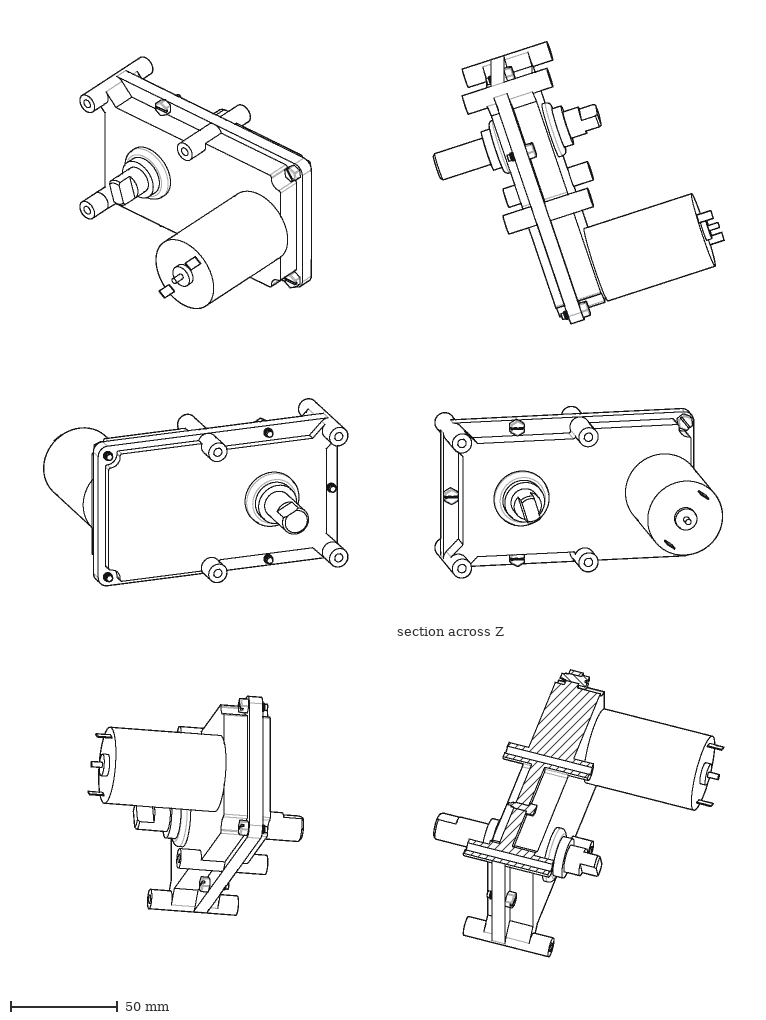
import cadquery as cq
import math


gearbox_depth = 22.3
gearbox_left = -27.7
narrow_half_height = 27.3
wide_half_height = 31.75
right_screw_x = 80.1
screw_notch_radius = 4.7
scallop_lip_radius = 1.0
gearbox_right = right_screw_x + scallop_lip_radius

standoff_offset = 30.2
standoff_radius = 4.6
standoff_bore = 4.0
standoff_front = -9.7
standoff_back = 32.0
standoff_blend_radius = 1.0

flange_front = 11.4
flange_back = 17.9
flange_left = -standoff_offset - standoff_radius
flange_right = right_screw_x + standoff_radius
flange_half_height = standoff_offset + standoff_radius

bearing_radius = 13.0
front_bearing_height = 3.9
back_bearing_height = 4.35
bearing_fillet = 2.2
neck_radius = 9.5
neck_height = 4.4

shaft_radius = 6.5
shaft_front = -23.6
shaft_back = 56.0
shaft_chamfer = 1.0
shaft_turn = 17.2
tongue_thickness = 6.2
tongue_length = 7.85
flat_distance = 5.0
flat_length = 9.6
flat_tilt = -45.0

motor_x = 67.66
motor_radius = 17.9
motor_length = 52.9
motor_hub_radius = 5.1
motor_hub_height = 2.6
motor_pin_radius = 1.3
motor_pin_end = 60.5
terminal_width = 4.2
terminal_thickness = 0.5
terminal_length = 7.0
terminal_circle_radius = 14.1
terminal_angle = 55.0

screw_offset = 31.5
head_across_flats = 6.5
head_height = 3.55
head_edge_fillet = 0.45
thread_radius = 2.0
thread_length = 1.8
thread_chamfer = 0.4
thread_pitch = 0.6
thread_groove_width = 0.3
thread_groove_depth = 0.2
point_radius = 1.5
point_length = 1.3
slot_width = 0.8
slot_depth = 1.2
crooked_screw_turn = -52.0


def plane_at(y):
    """Workplane whose local axes are X and Z, at depth y."""
    return cq.Workplane("XZ", origin=(0, y, 0))


def rod(x, z, radius, y_front, y_back):
    """Round bar along Y."""
    return plane_at(y_front).center(x, z).circle(radius).extrude(y_front - y_back)


def block(width, height, y_front, y_back):
    """Rectangular bar along Y, centred on the shaft axis."""
    return plane_at(y_front).rect(width, height).extrude(y_front - y_back)


def turned_about_y(body, angle):
    """Turn a body about the shaft axis, counter-clockwise with X right and Z up."""
    return body.rotate((0, 0, 0), (0, -1, 0), angle)


def mirrored_pair(body):
    """Body together with its mirror image below the shaft axis."""
    return body.union(body.mirror("XY"))


def gearbox_block():
    narrow = (
        plane_at(0)
        .moveTo(gearbox_left, -narrow_half_height)
        .lineTo(standoff_offset, -narrow_half_height)
        .lineTo(standoff_offset, narrow_half_height)
        .lineTo(gearbox_left, narrow_half_height)
        .close()
        .extrude(-gearbox_depth)
    )
    wide = (
        plane_at(0)
        .moveTo(standoff_offset, -wide_half_height)
        .lineTo(gearbox_right, -wide_half_height)
        .lineTo(gearbox_right, wide_half_height)
        .lineTo(standoff_offset, wide_half_height)
        .close()
        .extrude(-gearbox_depth)
    )
    return narrow.union(wide)


def screw_notch():
    """Scalloped upper right corner that clears a screw head."""
    left = right_screw_x - screw_notch_radius
    bottom = standoff_offset - screw_notch_radius
    diagonal = screw_notch_radius * math.sqrt(0.5)
    lip = scallop_lip_radius
    lip_middle = lip * (1 - math.sqrt(0.5))
    return (
        plane_at(0)
        .moveTo(left - lip, wide_half_height)
        .threePointArc(
            (left - lip_middle, wide_half_height - lip_middle),
            (left, wide_half_height - lip),
        )
        .lineTo(left, standoff_offset)
        .threePointArc(
            (right_screw_x - diagonal, standoff_offset - diagonal),
            (right_screw_x, bottom),
        )
        .threePointArc(
            (gearbox_right - lip_middle, bottom - lip_middle),
            (gearbox_right, bottom - lip),
        )
        .lineTo(gearbox_right, wide_half_height)
        .close()
        .extrude(-gearbox_depth)
    )


def corner_web():
    """Diagonal web from the gearbox to the upper left tube, with sides tangent to the tube."""
    reach = standoff_offset * math.sqrt(0.5)
    web = plane_at(0).center(-reach / 2, 0).rect(reach, 2 * standoff_radius).extrude(-gearbox_depth)
    return turned_about_y(web.translate((-reach, 0, 0)), -45)


def standoff_blend():
    """Concave blend between the narrow upper wall and the upper right tube."""
    centre_z = narrow_half_height + standoff_blend_radius
    centre_distance = standoff_radius + standoff_blend_radius
    rise = standoff_offset - centre_z
    centre_x = standoff_offset - math.sqrt(centre_distance**2 - rise**2)
    filler = (
        plane_at(0)
        .moveTo(centre_x, narrow_half_height)
        .lineTo(standoff_offset, narrow_half_height)
        .lineTo(standoff_offset, standoff_offset)
        .lineTo(centre_x, centre_z)
        .close()
        .extrude(-gearbox_depth)
    )
    return filler.cut(rod(centre_x, centre_z, standoff_blend_radius, 0, gearbox_depth))


def flange():
    plate = (
        plane_at(flange_front)
        .center((flange_left + flange_right) / 2, 0)
        .rect(flange_right - flange_left, 2 * flange_half_height)
        .extrude(flange_front - flange_back)
    )
    return plate.edges("|Y").fillet(standoff_radius)


def bearing_housing(height):
    """Stepped round bearing seat of the given height, standing on the Y = 0 face."""
    seat = rod(0, 0, bearing_radius, -height, 0).faces("<Y").edges().fillet(bearing_fillet)
    neck_end = -height - neck_height
    return seat.union(rod(0, 0, neck_radius, neck_end, 0))


def motor():
    can = rod(motor_x, 0, motor_radius, -motor_length, 0)
    hub = rod(motor_x, 0, motor_hub_radius, -motor_length - motor_hub_height, -motor_length)
    pin = rod(motor_x, 0, motor_pin_radius, -motor_pin_end, -motor_length)
    body = can.union(hub).union(pin)
    tip = -motor_length - terminal_length
    blade = block(terminal_thickness, terminal_width, tip, -motor_length)
    blade = blade.translate((terminal_circle_radius, 0, 0))
    for angle in (terminal_angle, terminal_angle + 180):
        body = body.union(turned_about_y(blade, angle).translate((motor_x, 0, 0)))
    return body


def make_gearmotor(screw_places):
    front_bearing = bearing_housing(front_bearing_height)
    back_bearing = bearing_housing(back_bearing_height).mirror("XZ").translate((0, gearbox_depth, 0))
    body = gearbox_block().cut(mirrored_pair(screw_notch()))
    body = body.union(mirrored_pair(corner_web()))
    body = body.union(mirrored_pair(standoff_blend()))
    body = body.union(flange())
    tube_centres = [
        (x, z)
        for x in (-standoff_offset, standoff_offset)
        for z in (-standoff_offset, standoff_offset)
    ]
    for x, z in tube_centres:
        body = body.union(rod(x, z, standoff_radius, standoff_front, standoff_back))
    body = body.union(front_bearing).union(back_bearing).union(motor())
    for x, z in tube_centres:
        body = body.cut(rod(x, z, standoff_bore / 2, standoff_front, standoff_back))
    for x, z, _ in screw_places:
        body = body.cut(rod(x, z, thread_radius, flange_front, flange_back))
    return body.cut(rod(0, 0, shaft_radius, shaft_front, shaft_back))


def make_shaft():
    shaft = rod(0, 0, shaft_radius, shaft_front, shaft_back)
    shaft = shaft.faces("<Y or >Y").edges().chamfer(shaft_chamfer)
    cheek = block(2 * shaft_radius, 2 * shaft_radius, shaft_front, shaft_front + tongue_length)
    cheek_shift = tongue_thickness / 2 + shaft_radius
    for side in (-1, 1):
        shaft = shaft.cut(cheek.translate((side * cheek_shift, 0, 0)))
    flat = block(2 * shaft_radius, 2 * shaft_radius, shaft_back - flat_length, shaft_back)
    flat = flat.translate((0, 0, flat_distance + shaft_radius))
    shaft = shaft.cut(turned_about_y(flat, flat_tilt))
    return turned_about_y(shaft, shaft_turn)


def thread_groove(y):
    """Ring cut that stands for one turn of the thread, centred at depth y."""
    front = y - thread_groove_width / 2
    back = y + thread_groove_width / 2
    core = rod(0, 0, thread_radius - thread_groove_depth, front, back)
    return rod(0, 0, thread_radius, front, back).cut(core)


def make_screw(x, z, turn):
    """Slotted hexagon screw with its head seated on the front of the flange."""
    head_front = flange_front - head_height
    corner_radius = head_across_flats / math.sqrt(3)
    head = plane_at(head_front).polygon(6, 2 * corner_radius).extrude(-head_height)
    head = turned_about_y(head, 30)
    head = head.edges("|Y or <Y").fillet(head_edge_fillet)
    head = head.cut(block(2 * corner_radius, slot_width, head_front, head_front + slot_depth))
    thread_end = flange_back + thread_length
    thread = rod(0, 0, thread_radius, flange_front, thread_end)
    thread = thread.faces(">Y").edges().chamfer(thread_chamfer)
    for y in (flange_back + thread_pitch, flange_back + 2 * thread_pitch):
        thread = thread.cut(thread_groove(y))
    point = rod(0, 0, point_radius, thread_end, thread_end + point_length)
    screw = head.union(thread).union(point)
    return turned_about_y(screw, turn).translate((x, 0, z))


screw_places = [
    (0, screw_offset, 0),
    (0, -screw_offset, 0),
    (-screw_offset, 0, 0),
    (right_screw_x, standoff_offset, crooked_screw_turn),
    (right_screw_x, -standoff_offset, 0),
]

gearmotor = make_gearmotor(screw_places)
shaft = make_shaft()
screws = [make_screw(x, z, turn) for x, z, turn in screw_places]

result = cq.Compound.makeCompound([gearmotor.val(), shaft.val(), *[screw.val() for screw in screws]])